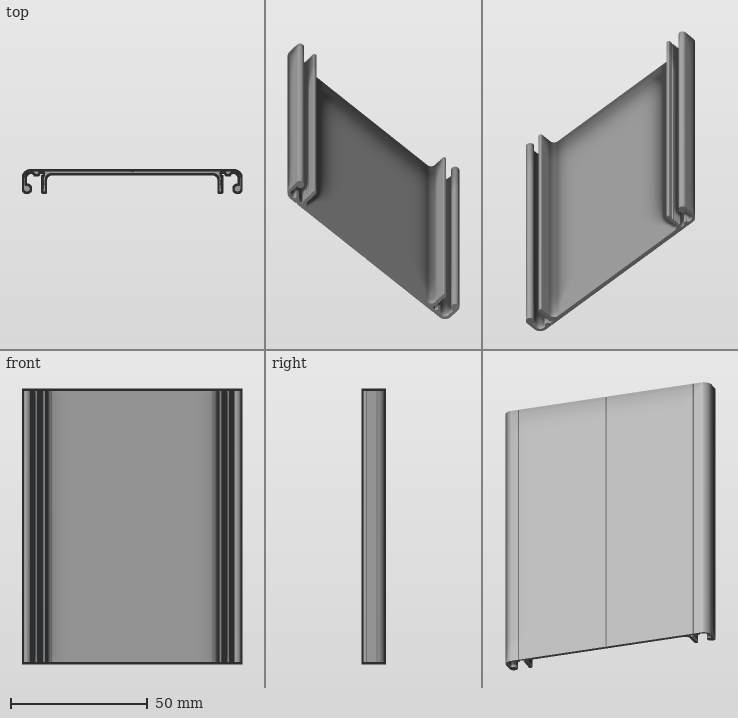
import cadquery as cq
import math

width = 80.0
depth = 8.4
length = 100.0
half_width = width / 2

plate_thickness = 1.6
strip_thickness = 1.05

hook_thickness = 1.1
corner_radius = 3.0
bulb_radius = 1.53

leg_inset = 7.1
leg_thickness = 1.4
leg_root_radius = 2.0
leg_tip_radius = 0.45

undercut_width = 0.5
undercut_bottom = 2.1

notch_pitch = 1.17
notch_depth = 0.35
notch_half_height = 0.25
notch_count = 4
first_notch_drop = 2.8

ramp_start_inset = 3.65
ramp_depth = 1.6
rib_start_inset = 4.25
rib_end_inset = 5.6
rib_root_inset = 6.3
rib_depth = 1.95

groove_spacing = 34.0
groove_depth = 0.3
groove_half_width = 0.2

left_x = -half_width
leg_outer_x = left_x + leg_inset
leg_inner_x = leg_outer_x + leg_thickness
plate_start_x = leg_outer_x + undercut_width


def extrude_polygon(points):
    return cq.Workplane("XY").polyline(points).close().extrude(length)


def extrude_circle(x, y, radius):
    return cq.Workplane("XY").center(x, y).circle(radius).extrude(length)


def make_block(x_min, x_max, y_min, y_max):
    block = cq.Workplane("XY").box(x_max - x_min, y_max - y_min, length, centered=False)
    return block.translate((x_min, y_min, 0))


def make_plate():
    """Half of the thick plate, from the leg to the centre plane."""
    return make_block(plate_start_x, 0, -plate_thickness, 0)


def make_hook():
    """Strip, rounded corner and hanging wall, ending in a round bulb."""
    corner_x = left_x + corner_radius
    wall_inner_x = left_x + hook_thickness
    bulb_y = bulb_radius - depth
    inner_radius_x = corner_radius - hook_thickness
    inner_radius_y = corner_radius - strip_thickness
    diagonal = math.sqrt(0.5)
    outer_mid = (
        corner_x - corner_radius * diagonal,
        corner_radius * diagonal - corner_radius,
    )
    inner_mid = (
        corner_x - inner_radius_x * diagonal,
        inner_radius_y * diagonal - corner_radius,
    )
    hook = (
        cq.Workplane("XY")
        .moveTo(left_x, bulb_y)
        .lineTo(left_x, -corner_radius)
        .threePointArc(outer_mid, (corner_x, 0))
        .lineTo(plate_start_x, 0)
        .lineTo(plate_start_x, -strip_thickness)
        .lineTo(corner_x, -strip_thickness)
        .threePointArc(inner_mid, (wall_inner_x, -corner_radius))
        .lineTo(wall_inner_x, bulb_y)
        .close()
        .extrude(length)
    )
    return hook.union(extrude_circle(left_x + bulb_radius, bulb_y, bulb_radius))


def make_rib():
    """Rib under the strip: ramp, steep outward side, flat crest, sloped inward side."""
    return extrude_polygon([
        (left_x + ramp_start_inset, 0),
        (left_x + ramp_start_inset, -strip_thickness),
        (left_x + rib_start_inset, -ramp_depth),
        (left_x + rib_start_inset, -rib_depth),
        (left_x + rib_end_inset, -rib_depth),
        (left_x + rib_root_inset, -strip_thickness),
        (left_x + rib_root_inset, 0),
    ])


def make_root_fillet():
    center_x = leg_inner_x + leg_root_radius
    center_y = -plate_thickness - leg_root_radius
    corner = make_block(leg_inner_x, center_x, center_y, -plate_thickness)
    return corner.cut(extrude_circle(center_x, center_y, leg_root_radius))


def make_notch(y):
    return extrude_polygon([
        (leg_outer_x, y + notch_half_height),
        (leg_outer_x + notch_depth, y),
        (leg_outer_x, y - notch_half_height),
    ])


def make_leg():
    """Straight leg with a rounded tip, a root fillet, an undercut and V notches."""
    leg = make_block(leg_outer_x, leg_inner_x, -depth, -strip_thickness)
    leg = leg.edges("|Z and <Y").fillet(leg_tip_radius)
    leg = leg.cut(make_block(leg_outer_x, plate_start_x, -undercut_bottom, -strip_thickness))
    for index in range(notch_count):
        leg = leg.cut(make_notch(-first_notch_drop - index * notch_pitch))
    return leg.union(make_root_fillet())


def make_groove(x):
    return extrude_polygon([
        (x - groove_half_width, 0),
        (x, -groove_depth),
        (x + groove_half_width, 0),
    ])


half = make_plate().union(make_hook()).union(make_rib()).union(make_leg())
result = half.union(half.mirror("YZ")).clean()
for groove_x in (-groove_spacing, 0, groove_spacing):
    result = result.cut(make_groove(groove_x))